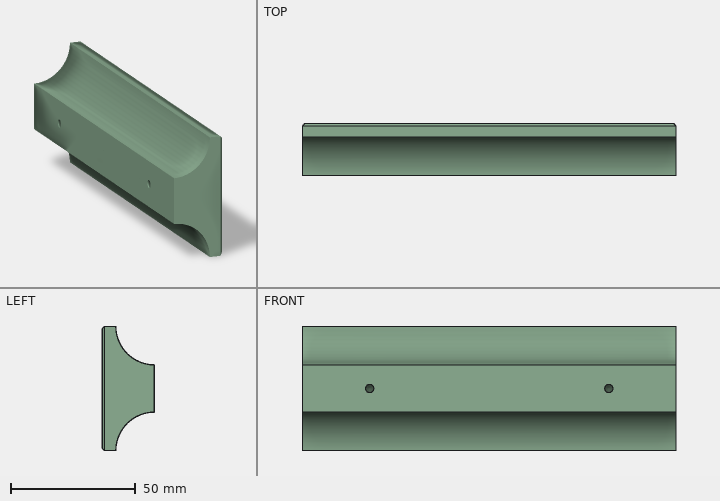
import cadquery as cq
import math

length = 150.0
depth = 21.0
height = 50.0
cove_radius = 15.5
back_chamfer = 1.0
hole_spacing = 96.0
hole_diameter = 3.3
hole_depth = 15.0
tip_angle = 118.0

hole_radius = hole_diameter / 2
tip_length = hole_radius / math.tan(math.radians(tip_angle / 2))
half_height = height / 2
half_face = half_height - cove_radius
cove_start = cove_radius
cove_middle = cove_radius * 0.5**0.5


def make_body():
    """Extrude the coved profile along X, with the front face at Y = 0."""
    profile = (
        cq.Workplane("YZ")
        .moveTo(0, -half_face)
        .lineTo(0, half_face)
        .threePointArc((cove_middle, half_height - cove_middle), (cove_start, half_height))
        .lineTo(depth, half_height)
        .lineTo(depth, -half_height)
        .lineTo(cove_start, -half_height)
        .threePointArc((cove_middle, cove_middle - half_height), (0, -half_face))
        .close()
    )
    body = profile.extrude(length / 2, both=True)
    return body.faces(">Y").edges().chamfer(back_chamfer)


def make_drill():
    """Revolve a pointed drill shape that enters the front face along +Y."""
    return (
        cq.Workplane("XY")
        .polyline([(0, 0), (hole_radius, 0), (hole_radius, hole_depth), (0, hole_depth + tip_length)])
        .close()
        .revolve(360, (0, 0, 0), (0, 1, 0))
    )


result = make_body()
for hole_x in (-hole_spacing / 2, hole_spacing / 2):
    result = result.cut(make_drill().translate((hole_x, 0, 0)))